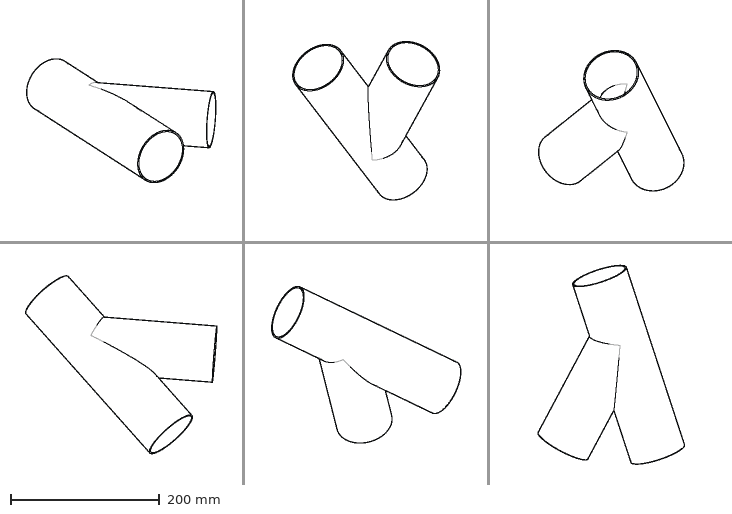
import cadquery as cq
import math

run_length = 258.0
outer_diameter = 76.0
inner_diameter = 72.0
branch_angle = 45.0
junction_x = 91.0
branch_length = 167.0


def run_cylinder(diameter):
    """Cylinder along +X over the full length of the run."""
    return cq.Workplane("YZ").circle(diameter / 2).extrude(run_length)


def branch_cylinder(diameter):
    """Cylinder leaning from the axis crossing towards +X and +Y."""
    angle = math.radians(branch_angle)
    branch_plane = cq.Plane(
        origin=(junction_x, 0, 0),
        xDir=(0, 0, 1),
        normal=(math.cos(angle), math.sin(angle), 0),
    )
    return cq.Workplane(branch_plane).circle(diameter / 2).extrude(branch_length)


body = run_cylinder(outer_diameter).union(branch_cylinder(outer_diameter))
bores = run_cylinder(inner_diameter).union(branch_cylinder(inner_diameter))
result = body.cut(bores)